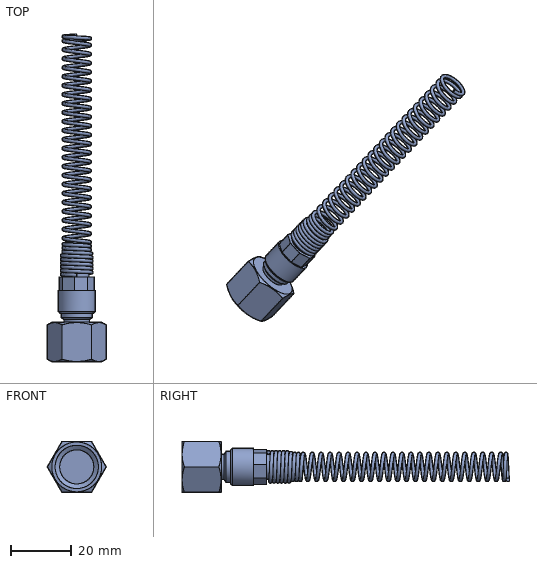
import cadquery as cq
import math

overall_length = 109.3

nut_across_flats = 17.0
nut_length = 13.2
nut_corner_radius = nut_across_flats / 2 / math.cos(math.radians(30))
nut_face_radius = 8.3
nut_chamfer_angle = 30.0
nut_mouth_radius = 7.2
nut_mouth_depth = 1.1

head_radius = 5.7
head_front = 1.5
head_back = 8.7
neck_radius = 4.3
neck_end = 14.1
collar_radius = 5.2
collar_cone_length = 0.7
sleeve_start = 16.2
sleeve_radius = 6.2
sleeve_chamfer_length = 0.7
sleeve_end = 23.8
octagon_across_flats = 10.9
octagon_corner_radius = octagon_across_flats / 2 / math.cos(math.radians(22.5))
octagon_turn = 7.2
octagon_end = 28.3
boss_radius = 4.2
boss_end = 34.4

wire_radius = 0.6
closed_gap = 0.04
closed_pitch = 2 * wire_radius + closed_gap
grip_outer_radius = 5.5
free_outer_radius = 4.9
grip_coil_radius = grip_outer_radius - wire_radius
free_coil_radius = free_outer_radius - wire_radius
grip_turns = 5.5
taper_turns = 1.0
closed_turns = 2.3
free_end_turns = 1.2
total_turns = 32.5
points_per_turn = 12
pitch_blend_turns = 0.5
spring_start = octagon_end + wire_radius
spring_end = overall_length - wire_radius
open_start_turn = grip_turns + taper_turns + closed_turns
open_end_turn = total_turns - free_end_turns
open_turns = open_end_turn - open_start_turn
closed_length = closed_pitch * (total_turns - open_turns)
open_pitch = (spring_end - spring_start - closed_length) / open_turns


def revolve_about_y(profile):
    """Turn a closed (radius, Y) outline into a solid around the Y axis."""
    return cq.Workplane("XY").polyline(profile).close().revolve(360, (0, 0), (0, 1))


def polygon_prism(sides, corner_radius, first_angle, start, end):
    """Prism along +Y whose first corner is turned from +X towards +Z."""
    angles = [math.radians(first_angle + 360 / sides * i) for i in range(sides)]
    corners = [(corner_radius * math.cos(a), corner_radius * math.sin(a)) for a in angles]
    return cq.Workplane("XZ", origin=(0, start, 0)).polyline(corners).close().extrude(start - end)


def make_nut():
    """Hexagon nut with chamfered corners, bored to hold the fitting's head."""
    chamfer_length = (nut_corner_radius - nut_face_radius) * math.tan(math.radians(nut_chamfer_angle))
    chamfered_envelope = revolve_about_y([
        (0, 0),
        (nut_face_radius, 0),
        (nut_corner_radius, chamfer_length),
        (nut_corner_radius, nut_length - chamfer_length),
        (nut_face_radius, nut_length),
        (0, nut_length),
    ])
    bore = revolve_about_y([
        (0, 0),
        (nut_mouth_radius, 0),
        (head_radius, nut_mouth_depth),
        (head_radius, head_back),
        (neck_radius, head_back),
        (neck_radius, nut_length),
        (0, nut_length),
    ])
    hexagon = polygon_prism(6, nut_corner_radius, 0, 0, nut_length)
    return hexagon.intersect(chamfered_envelope).cut(bore)


def make_fitting():
    """Stepped fitting: head, neck, collar, sleeve, octagon and spring boss."""
    turned_front = revolve_about_y([
        (0, head_front),
        (head_radius, head_front),
        (head_radius, head_back),
        (neck_radius, head_back),
        (neck_radius, neck_end),
        (collar_radius, neck_end + collar_cone_length),
        (collar_radius, sleeve_start),
        (sleeve_radius - sleeve_chamfer_length, sleeve_start),
        (sleeve_radius, sleeve_start + sleeve_chamfer_length),
        (sleeve_radius, sleeve_end),
        (0, sleeve_end),
    ])
    octagon = polygon_prism(8, octagon_corner_radius, octagon_turn, sleeve_end, octagon_end)
    boss = cq.Workplane("XZ", origin=(0, octagon_end, 0)).circle(boss_radius).extrude(octagon_end - boss_end)
    return turned_front.union(octagon).union(boss)


def blended_ramp(x):
    """Ramp rising from 0 with slope 1, with its corner at x = 0 rounded by a parabola."""
    half = pitch_blend_turns / 2
    if x <= -half:
        return 0.0
    if x >= half:
        return x
    return (x + half) ** 2 / (4 * half)


def coil_point(turn):
    """Point on the wire's centre line after the given number of turns."""
    taper = min(max((turn - grip_turns) / taper_turns, 0), 1)
    smooth_taper = (1 - math.cos(math.pi * taper)) / 2
    radius = grip_coil_radius + (free_coil_radius - grip_coil_radius) * smooth_taper
    opened_turns = blended_ramp(turn - open_start_turn) - blended_ramp(turn - open_end_turn)
    y = spring_start + closed_pitch * turn + (open_pitch - closed_pitch) * opened_turns
    angle = math.pi / 2 + 2 * math.pi * turn
    return cq.Vector(radius * math.cos(angle), y, radius * math.sin(angle))


def make_spring():
    """Round wire swept along closed turns, open turns and a closed free end."""
    steps = math.ceil(total_turns * points_per_turn)
    points = [coil_point(total_turns * i / steps) for i in range(steps + 1)]
    centre_line = cq.Edge.makeSpline(points)
    wire_plane = cq.Plane(origin=points[0], normal=centre_line.tangentAt(0))
    path = cq.Workplane(cq.Wire.assembleEdges([centre_line]))
    return cq.Workplane(wire_plane).circle(wire_radius).sweep(path, isFrenet=True)


nut = make_nut()
fitting = make_fitting()
spring = make_spring()

result = cq.Compound.makeCompound([nut.val(), fitting.val(), spring.val()])